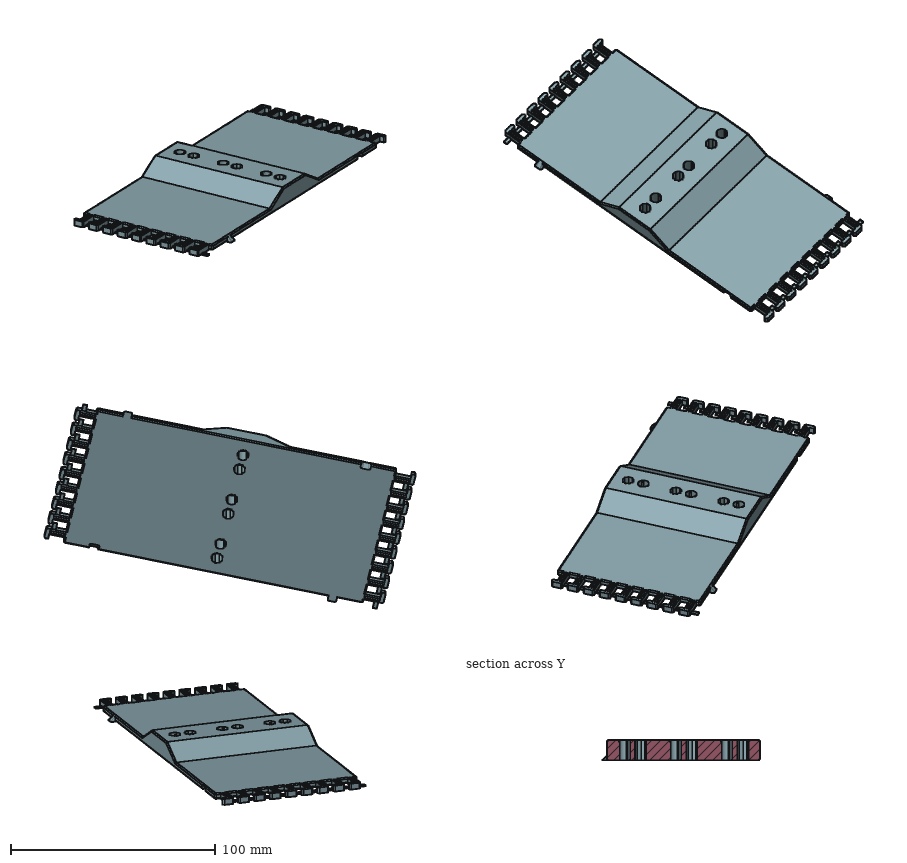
import cadquery as cq
import math

OVERALL_X = 79.7
OVERALL_Y = 170.0
OVERALL_Z = 10.0

PLATE_X = 75.0
PLATE_Y = 150.5
PLATE_Z = 3.0
HUMP_TOP_Y = 20.0
HUMP_SLOPE = math.radians(30)
HUMP_BASE_Y = HUMP_TOP_Y + 2 * (OVERALL_Z - PLATE_Z) / math.tan(HUMP_SLOPE)
EDGE_CHAMFER = (PLATE_X - OVERALL_X) / 2 + PLATE_Z

HOLE_DIAMETER = 5.5
HOLE_SPACING = 8.0
PAIR_COUNT = 3
PAIR_PITCH = PLATE_X / PAIR_COUNT
FACETED_HOLE_DIAMETER = 5.6
FACET_COUNT = 9
FACET_CORNER_ANGLE = 45
RIB_ANGLES = (60, 180, 300)
RIB_RADIUS = 0.5
RIB_TOP_GAP = 0.8

HOOK_COUNT = 9
HOOK_PITCH = PLATE_X / HOOK_COUNT
LAST_FORK_EDGE_X = 35.4
PRONG_X = 1.0
FORK_X = 3 * PRONG_X
HEAD_X = 5.8
HEAD_Y = 2.0
TIP_CHAMFER = 0.8
TIP_RELIEF = 0.3
CORNER_CHAMFER = 0.7
FOOT_X = 3.5
FOOT_Y = 2.0
FOOT_Z = 0.5
FOOT_OUTER_Y = 82.5

CATCH_Y = 60.0
CATCH_BASE_WIDTH = 4.5
CATCH_TOP_WIDTH = 2.7
CATCH_BASE_CORNER = 1.0
CATCH_TOP_CORNER = 0.3
CATCH_ROOT = 3.4
NOTCH_CLEARANCE = 0.3

OVERLAP = 1.7


def box(x_min, x_max, y_min, y_max, height):
    """Box standing on the base plane between the given limits."""
    size_x = x_max - x_min
    size_y = y_max - y_min
    return cq.Workplane("XY").box(size_x, size_y, height, centered=False).translate((x_min, y_min, 0))


def half_turn(shape):
    """Copy of a shape turned half a turn about the vertical axis."""
    return shape.rotate((0, 0, 0), (0, 0, 1), 180)


def make_ribbed_hole(center_x):
    """Cutter for a round hole that leaves rounded ribs standing on its wall."""
    hole = cq.Workplane("XY").center(center_x, 0).circle(HOLE_DIAMETER / 2).extrude(OVERALL_Z)
    rib_height = OVERALL_Z - RIB_TOP_GAP
    for angle in RIB_ANGLES:
        rib_x = center_x + HOLE_DIAMETER / 2 * math.cos(math.radians(angle))
        rib_y = HOLE_DIAMETER / 2 * math.sin(math.radians(angle))
        hole = hole.cut(cq.Workplane("XY").center(rib_x, rib_y).circle(RIB_RADIUS).extrude(rib_height))
    return hole


def make_faceted_hole(center_x):
    """Cutter for a hole with flat facets and one corner turned to FACET_CORNER_ANGLE."""
    hole = cq.Workplane("XY").polygon(FACET_COUNT, FACETED_HOLE_DIAMETER).extrude(OVERALL_Z)
    return hole.rotate((0, 0, 0), (0, 0, 1), FACET_CORNER_ANGLE).translate((center_x, 0, 0))


def make_plate():
    """Plate and hump with chamfered outer edges and the hump holes."""
    profile = [
        (-PLATE_Y / 2, 0),
        (PLATE_Y / 2, 0),
        (PLATE_Y / 2, PLATE_Z),
        (HUMP_BASE_Y / 2, PLATE_Z),
        (HUMP_TOP_Y / 2, OVERALL_Z),
        (-HUMP_TOP_Y / 2, OVERALL_Z),
        (-HUMP_BASE_Y / 2, PLATE_Z),
        (-PLATE_Y / 2, PLATE_Z),
    ]
    plate = cq.Workplane("YZ").polyline(profile).close().extrude(PLATE_X / 2, both=True)
    plate = plate.faces("<X or >X or <Y or >Y").edges().chamfer(EDGE_CHAMFER)
    for index in range(PAIR_COUNT):
        pair_x = (index - (PAIR_COUNT - 1) / 2) * PAIR_PITCH
        plate = plate.cut(make_ribbed_hole(pair_x - HOLE_SPACING / 2))
        plate = plate.cut(make_faceted_hole(pair_x + HOLE_SPACING / 2))
    return plate


def make_hook(fork_edge_x):
    """Hook on the -Y end: two prongs on a block, a head pointing to -X, a thin foot on +X."""
    end_y = -OVERALL_Y / 2
    head_back_y = end_y + HEAD_Y
    root_y = -PLATE_Y / 2 + OVERLAP
    tip_x = fork_edge_x - HEAD_X
    head_outline = [
        (fork_edge_x, head_back_y),
        (fork_edge_x, end_y + CORNER_CHAMFER),
        (fork_edge_x - CORNER_CHAMFER, end_y),
        (tip_x + TIP_CHAMFER, end_y),
        (tip_x, end_y + TIP_CHAMFER),
        (tip_x + TIP_RELIEF, head_back_y),
    ]
    hook = cq.Workplane("XY").polyline(head_outline).close().extrude(PLATE_Z)
    for prong_edge_x in (fork_edge_x, fork_edge_x - FORK_X + PRONG_X):
        hook = hook.union(box(prong_edge_x - PRONG_X, prong_edge_x, head_back_y, root_y, PLATE_Z))
    root = box(fork_edge_x - FORK_X, fork_edge_x, -PLATE_Y / 2, root_y, PLATE_Z)
    foot = box(
        fork_edge_x - PRONG_X, fork_edge_x + FOOT_X, -FOOT_OUTER_Y, -FOOT_OUTER_Y + FOOT_Y, FOOT_Z
    )
    return hook.union(root).union(foot)


def catch_section(half_width, reach_x, corner):
    """Horizontal section of the catch, from inside the plate out to its rounded front."""
    length = CATCH_ROOT + reach_x - PLATE_X / 2
    return (
        cq.Sketch()
        .push([(reach_x - length / 2, -CATCH_Y)])
        .rect(length, 2 * half_width)
        .reset()
        .vertices(">X")
        .fillet(corner)
    )


def make_catch(clearance):
    """Catch on the +X side that leans out at 45 degrees towards the base plane."""
    top_reach_x = OVERALL_X / 2 - PLATE_Z
    base = catch_section(CATCH_BASE_WIDTH / 2 + clearance, OVERALL_X / 2 + clearance, CATCH_BASE_CORNER)
    top = catch_section(CATCH_TOP_WIDTH / 2 + clearance, top_reach_x + clearance, CATCH_TOP_CORNER)
    top = top.moved(cq.Location(cq.Vector(0, 0, PLATE_Z)))
    return cq.Workplane("XY").placeSketch(base, top).loft()


result = make_plate()

notch = make_catch(NOTCH_CLEARANCE).translate((-PLATE_X, 0, 0))
result = result.cut(notch).cut(half_turn(notch))

catch = make_catch(0)
result = result.union(catch).union(half_turn(catch))

for index in range(HOOK_COUNT):
    hook = make_hook(LAST_FORK_EDGE_X - index * HOOK_PITCH)
    result = result.union(hook).union(half_turn(hook))